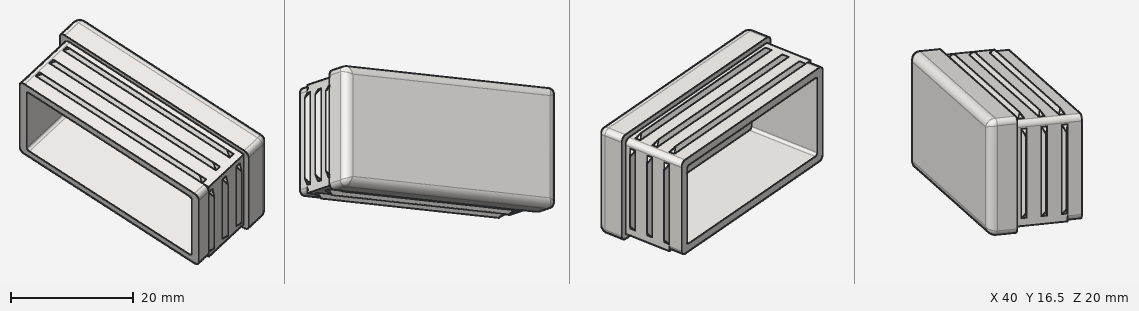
import cadquery as cq


head_width = 40.0
head_height = 20.0
head_thickness = 5.0
head_corner_radius = 1.0
head_edge_radius = 1.5

total_depth = 16.5
head_overhang = 1.0
plug_width = head_width - 2 * head_overhang
plug_height = head_height - 2 * head_overhang
plug_length = total_depth - head_thickness
plug_corner_radius = 1.0
lead_in_length = 2.5

wall_thickness = 1.5
floor_thickness = 3.0
cavity_corner_radius = 0.5

rib_count = 3
rib_pitch = 3.5
rib_base_width = 1.0
rib_projection = 0.8
rib_end_inset = 1.35
rib_end_run = 1.0
head_to_first_rib = 1.5
first_rib_y = plug_length - head_to_first_rib
rib_root = 0.2


def block(width, height, y_start, length):
    """Box centred on the Y axis, reaching from y_start towards +Y."""
    return cq.Workplane("XY").box(width, length, height).translate((0, y_start + length / 2, 0))


def make_head():
    head = block(head_width, head_height, plug_length, head_thickness)
    head = head.faces(">Y").edges().fillet(head_edge_radius)
    return head.edges("|Y").fillet(head_corner_radius)


def make_plug():
    lead_in = block(plug_width, plug_height, 0, lead_in_length)
    lead_in = lead_in.edges("|Y").fillet(plug_corner_radius)
    shank = block(plug_width, plug_height, lead_in_length, plug_length - lead_in_length)
    shank = shank.edges("|Y").edges("<X").edges(">Z").fillet(plug_corner_radius)
    return lead_in.union(shank)


def make_cavity():
    cavity = block(
        plug_width - 2 * wall_thickness,
        plug_height - 2 * wall_thickness,
        0,
        total_depth - floor_thickness,
    )
    return cavity.edges("|Y").fillet(cavity_corner_radius)


def make_rib(side_length, face_offset):
    """Triangular rib with sloping ends, along X, on a +Z face at height face_offset."""
    foot_end = side_length / 2 - rib_end_inset
    crest_end = foot_end - rib_end_run
    half_width = rib_base_width / 2
    side_profile = (
        cq.Workplane("XZ")
        .polyline(
            [
                (-foot_end, -rib_root),
                (foot_end, -rib_root),
                (foot_end, 0),
                (crest_end, rib_projection),
                (-crest_end, rib_projection),
                (-foot_end, 0),
            ]
        )
        .close()
        .extrude(half_width, both=True)
    )
    cross_section = (
        cq.Workplane("YZ")
        .polyline(
            [
                (-half_width, -rib_root),
                (half_width, -rib_root),
                (half_width, 0),
                (0, rib_projection),
                (-half_width, 0),
            ]
        )
        .close()
        .extrude(foot_end, both=True)
    )
    return side_profile.intersect(cross_section).translate((0, 0, face_offset))


def add_ribs(body):
    long_rib = make_rib(plug_width, plug_height / 2)
    short_rib = make_rib(plug_height, plug_width / 2)
    faces = ((long_rib, 0), (short_rib, 90), (long_rib, 180), (short_rib, 270))
    for index in range(rib_count):
        rib_y = first_rib_y - index * rib_pitch
        for rib, angle in faces:
            turned_rib = rib.rotate((0, 0, 0), (0, 1, 0), angle)
            body = body.union(turned_rib.translate((0, rib_y, 0)))
    return body


body = add_ribs(make_head().union(make_plug()))
result = body.cut(make_cavity())